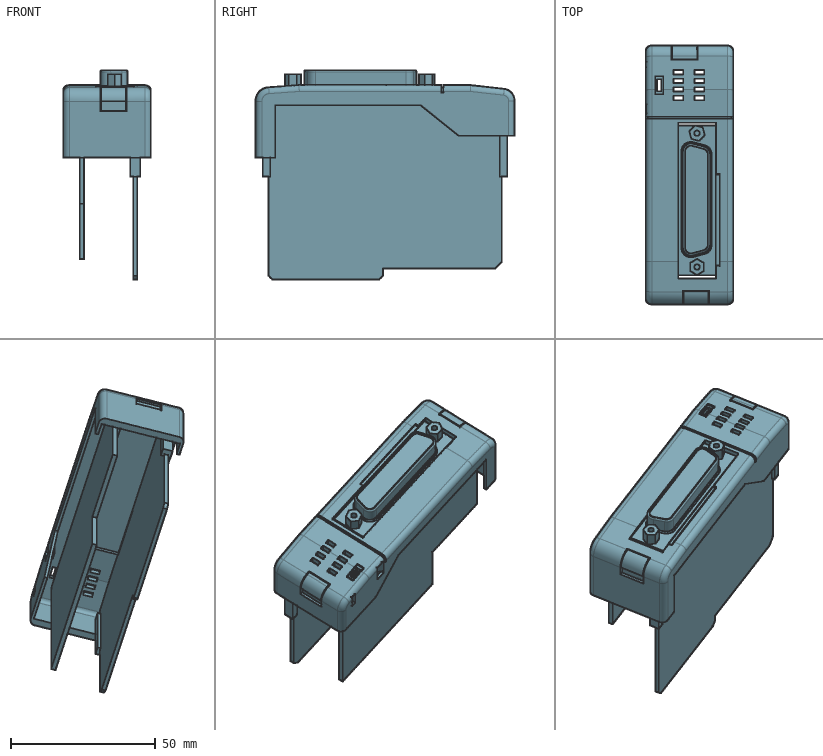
import cadquery as cq
import math


width = 30.5
length = 90.0
wall = 2.5
side_wall = 1.1
edge_radius = 2.2
front_end = -length / 2
rear_end = length / 2
left_side = -width / 2
front_bottom = -25.2
rear_bottom = -17.6

front_bend = -30.0
rear_bend = 29.7
front_drop = 1.1
rear_drop = 1.7
front_radius = 4.9
rear_radius = 4.1
front_slope = math.atan2(front_drop, front_bend - front_end)
rear_slope = math.atan2(rear_drop, rear_end - rear_bend)
front_corner_bottom = -front_drop - front_radius * math.tan(math.pi / 4 - front_slope / 2)

side_cutout_top = -7.1
cutout_front = -38.2
cutout_ramp_top = 12.4
cutout_ramp_bottom = 25.6

grip_width = 9.2
grip_gap = 0.3
grip_gap_depth = 1.4
grip_recess_depth = 0.8
grip_recess_top = front_corner_bottom
grip_bottom = -9.2
front_grip_x = 2.25
front_grip_inner = -40.1
rear_grip_x = -1.7
rear_grip_inner = 40.0

groove_y = 19.9
groove_width = 0.7
groove_depth = 0.8
groove_bottom = -2.7

window_size = (3.2, 1.4)
window_columns = (-3.9, 3.4)
window_rows = 4
first_window_y = 26.7
window_pitch = 3.0

switch_x = -10.5
switch_y = 31.1
switch_recess = (2.7, 6.2)
switch_recess_depth = 0.5
switch_slot = (1.35, 4.05)

small_slot_y = (37.35, 39.2)
small_slot_z = (-7.6, -2.4)
large_slot_y = (21.1, 24.6)
large_slot_z = (-8.1, -1.35)
ramp_bottom = -7.0
ramp_size = 2.4

opening_front = -35.9
opening_rear = 18.1
opening_right = 9.4

plain_board_x = -9.5
plain_board_thickness = 1.6
board_front = -40.5
plain_board_rear = 37.1
plain_board_bottom = -60.5
plain_step_y = -14.8
plain_step_z = -41.2

connector_board_x = 9.1
connector_board_thickness = 1.4
connector_board_rear = 40.6
connector_board_bottom = -67.6
board_step_y = -0.6
board_step_z = -63.7
rear_chamfer = 2.3
tongue_chamfer = 1.4
tab_front = -31.3
tab_rear = 0.1
tab_top = -0.45
tab_gap = 0.3

guide_width = 3.5
guide_length = 2.7
guide_bottom = -31.8

flange_width = 13.0
flange_length = 52.1
flange_top = -0.8
connector_x = connector_board_x - flange_width / 2
connector_y = -8.8
opening_left = connector_board_x - flange_width

shell_x = 2.4
shell_y = -8.55
shell_width = 9.45
shell_half_length = 20.3
shell_taper = math.radians(15)
shell_top = 5.1
shell_corner_radius = 2.8
shell_top_radius = 0.5
shell_rim = 0.3
shell_recess_depth = 0.4
skirt = 0.5

post_spacing = 46.4
post_y = -8.7
post_across_corners = 5.6
post_top = 3.8
post_hole_diameter = 1.9
post_hole_depth = 2.7
rear_post_turn = 15.0


def block(x_range, y_range, z_range):
    """Box between the given limits."""
    return cq.Workplane("XY").box(
        x_range[1] - x_range[0], y_range[1] - y_range[0], z_range[1] - z_range[0], centered=False
    ).translate((x_range[0], y_range[0], z_range[0]))


def side_profile_solid(points, x_start, thickness):
    """Outline of (Y, Z) points extruded along +X."""
    return cq.Workplane("YZ").polyline(points).close().extrude(thickness).translate((x_start, 0, 0))


def envelope(inset, side_inset):
    """Housing outside with rounded front and rear roof corners, moved inwards by the given insets."""
    front_y = front_end + inset
    rear_y = rear_end - inset
    front_bend_y = front_bend + inset * math.tan(front_slope / 2)
    rear_bend_y = rear_bend - inset * math.tan(rear_slope / 2)
    front_z = -inset - (front_bend_y - front_y) * math.tan(front_slope)
    rear_z = -inset - (rear_y - rear_bend_y) * math.tan(rear_slope)
    points = [
        (front_y, front_bottom),
        (front_y, front_z),
        (front_bend_y, -inset),
        (rear_bend_y, -inset),
        (rear_y, rear_z),
        (rear_y, front_bottom),
    ]
    solid = side_profile_solid(points, left_side + side_inset, width - 2 * side_inset)
    solid = solid.edges(cq.selectors.NearestToPointSelector((0, front_y, front_z))).fillet(front_radius - inset)
    return solid.edges(cq.selectors.NearestToPointSelector((0, rear_y, rear_z))).fillet(rear_radius - inset)


def round_sides(solid, radius):
    """Rounds every edge of the two side faces except the bottom one."""
    return solid.faces("<X or >X").edges("not <Z").fillet(radius)


def grip(x_center, inner_y, end_y):
    """Slit around a spring tab at a rounded end, with a finger recess in the lower part of the tab."""
    half_width = grip_width / 2
    tab_half_width = half_width - grip_gap
    tab_inner_y = inner_y + math.copysign(grip_gap, end_y)
    x_range = (x_center - half_width, x_center + half_width)
    y_range = sorted((inner_y, end_y))
    opening = block(x_range, y_range, (grip_bottom, 0))
    tab = block(
        (x_center - tab_half_width, x_center + tab_half_width),
        sorted((tab_inner_y, end_y)),
        (grip_bottom + grip_gap, 0),
    )
    slit = opening.cut(tab).cut(envelope(grip_gap_depth, 0))
    recess = block(x_range, y_range, (grip_bottom, grip_recess_top)).cut(envelope(grip_recess_depth, 0))
    return slit.union(recess)


def roof_groove():
    """Groove across the roof that runs a little way down both sides."""
    y_range = (groove_y - groove_width / 2, groove_y + groove_width / 2)
    core = round_sides(envelope(groove_depth, groove_depth), edge_radius - groove_depth)
    return block((left_side, -left_side), y_range, (groove_bottom, 0)).cut(core)


def windows():
    """Two columns of indicator windows through the roof."""
    centers = [
        (x, first_window_y + row * window_pitch) for x in window_columns for row in range(window_rows)
    ]
    return cq.Workplane("XY").pushPoints(centers).rect(*window_size).extrude(-2 * wall)


def switch_opening():
    """Slot through the roof inside a shallow rectangular recess that follows the roof."""
    plane = cq.Workplane("XY").center(switch_x, switch_y)
    recess = plane.rect(*switch_recess).extrude(-2 * wall).cut(envelope(switch_recess_depth, 0))
    return recess.union(plane.rect(*switch_slot).extrude(-2 * wall))


def side_slots():
    """Two slots through the left side wall."""
    slot_x = (left_side, left_side + side_wall)
    return block(slot_x, small_slot_y, small_slot_z).union(block(slot_x, large_slot_y, large_slot_z))


def slot_ramp():
    """Wedge inside the larger slot that leads inwards from its front edge."""
    front_y = large_slot_y[0]
    outline = [
        (left_side, front_y),
        (left_side + ramp_size, front_y + ramp_size),
        (left_side + ramp_size, front_y),
    ]
    wedge = cq.Workplane("XY").polyline(outline).close().extrude(large_slot_z[1] - ramp_bottom)
    return wedge.translate((0, 0, ramp_bottom))


def guides():
    """Two hanging posts, one on each end wall, that hold the edges of the connector board."""
    center = connector_board_x + connector_board_thickness / 2
    x_range = (center - guide_width / 2, center + guide_width / 2)
    z_range = (guide_bottom, side_cutout_top)
    rear_wall = rear_end - wall
    front_wall = front_end + wall
    rear = block(x_range, (rear_wall - guide_length, rear_wall), z_range)
    front = block(x_range, (front_wall, front_wall + guide_length), z_range)
    return rear.union(front)


def make_housing(board):
    shell = round_sides(envelope(0, 0), edge_radius).cut(envelope(wall, side_wall))
    below_edge = [
        (cutout_front, front_bottom),
        (cutout_front, side_cutout_top),
        (cutout_ramp_top, side_cutout_top),
        (cutout_ramp_bottom, rear_bottom),
        (rear_end, rear_bottom),
        (rear_end, front_bottom),
    ]
    shell = shell.cut(side_profile_solid(below_edge, left_side, width))
    shell = shell.cut(grip(front_grip_x, front_grip_inner, front_end))
    shell = shell.cut(grip(rear_grip_x, rear_grip_inner, rear_end))
    shell = shell.cut(roof_groove()).cut(windows()).cut(switch_opening()).cut(side_slots())
    shell = shell.union(slot_ramp())
    opening = block((opening_left, opening_right), (opening_front, opening_rear), (-2 * wall, 0))
    tab_right = connector_board_x + connector_board_thickness
    notch_y = (tab_front - tab_gap, tab_rear + tab_gap)
    tab_notch = block((opening_right, tab_right), notch_y, (-2 * wall, 0))
    return shell.cut(opening).cut(tab_notch).union(guides()).cut(board)


def board_solid(points, x_start, thickness):
    """Board whose top edge follows the inside of the roof."""
    blank = side_profile_solid(points, x_start, thickness)
    roof = block((left_side, -left_side), (front_end, rear_end), (side_cutout_top, 0)).cut(envelope(wall, side_wall))
    return blank.cut(roof)


def make_plain_board():
    points = [
        (board_front, -wall),
        (plain_board_rear, -wall),
        (plain_board_rear, plain_board_bottom),
        (plain_step_y, plain_board_bottom),
        (plain_step_y, plain_step_z),
        (board_front, plain_step_z),
    ]
    return board_solid(points, plain_board_x, plain_board_thickness)


def d_shell(margin, z_range):
    """D-shaped prism, wider on its left, grown outwards by margin."""
    half_width = shell_width / 2 + margin
    mean_half_length = (
        shell_half_length - shell_width / 2 * math.tan(shell_taper) + margin / math.cos(shell_taper)
    )
    left_half = mean_half_length + half_width * math.tan(shell_taper)
    right_half = mean_half_length - half_width * math.tan(shell_taper)
    outline = [
        (-half_width, -left_half),
        (half_width, -right_half),
        (half_width, right_half),
        (-half_width, left_half),
    ]
    prism = cq.Workplane("XY").polyline(outline).close().extrude(z_range[1] - z_range[0])
    prism = prism.edges("|Z").fillet(shell_corner_radius + margin)
    return prism.translate((shell_x, shell_y, z_range[0]))


def hex_post(y, turn):
    """Hexagonal jack post with a threaded hole; turn is measured from a corner pointing along Y."""
    post = cq.Workplane("XY").polygon(6, post_across_corners).extrude(post_top - flange_top)
    post = post.faces(">Z").workplane().hole(post_hole_diameter, post_hole_depth)
    return post.rotate((0, 0, 0), (0, 0, 1), 90 + turn).translate((connector_x, y, flange_top))


def make_connector_board():
    points = [
        (board_front, -wall),
        (connector_board_rear, -wall),
        (connector_board_rear, board_step_z + rear_chamfer),
        (connector_board_rear - rear_chamfer, board_step_z),
        (board_step_y, board_step_z),
        (board_step_y, connector_board_bottom + tongue_chamfer),
        (board_step_y - tongue_chamfer, connector_board_bottom),
        (board_front + tongue_chamfer, connector_board_bottom),
        (board_front, connector_board_bottom + tongue_chamfer),
    ]
    board = board_solid(points, connector_board_x, connector_board_thickness)
    board_right = connector_board_x + connector_board_thickness
    tab = block((connector_board_x, board_right), (tab_front, tab_rear), (-wall, tab_top))
    flange = block(
        (opening_left, connector_board_x),
        (connector_y - flange_length / 2, connector_y + flange_length / 2),
        (-wall, flange_top),
    )
    foot = d_shell(skirt, (flange_top, flange_top + skirt)).faces(">Z").edges().chamfer(0.9 * skirt)
    shell = d_shell(0, (flange_top, shell_top)).faces(">Z").edges().fillet(shell_top_radius)
    shell = shell.cut(d_shell(-shell_top_radius - shell_rim, (shell_top - shell_recess_depth, shell_top)))
    board = board.union(tab).union(flange).union(foot).union(shell)
    board = board.union(hex_post(post_y - post_spacing / 2, 0))
    return board.union(hex_post(post_y + post_spacing / 2, rear_post_turn))


connector_board = make_connector_board()
plain_board = make_plain_board()
housing = make_housing(connector_board)

result = cq.Compound.makeCompound([housing.val(), plain_board.val(), connector_board.val()])